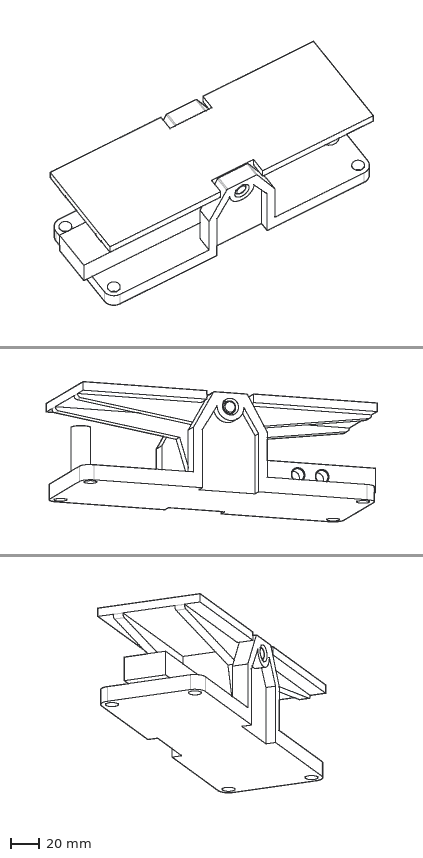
import cadquery as cq

length = 220.0
base_width = 80.0
axle_z = 60.0

plate_height = 11.0
corner_radius = 8.0
mounting_hole_diameter = 9.0

cheek_thickness = 12.0
cheek_half_foot = 27.5
cheek_half_top = 12.5
cheek_shoulder_z = 43.5
cheek_top_z = 70.0
cheek_edge_rounding = 1.0
axle_hole_diameter = 12.0
boss_radius = 10.0

pocket_depth = 7.5
pocket_half_width = 21.0
pocket_shoulder_z = 42.0

post_diameter = 14.0
post_height = 35.0
post_y = 98.0

block_width = 32.0
block_length = 98.0
block_height = 17.6
block_overhang = 7.0
socket_diameter = 9.0
socket_depth = 10.0
socket_spacing = 18.0
socket_chamfer = 0.6

tread_width = 79.0
tread_thickness = 6.25
tread_top_z = 70.5
notch_half_length = 17.5
cheek_clearance = 0.5

rib_thickness = 7.5
rib_tip_z = 61.75
rib_tip_radius = 2.75
rib_knee_y = 17.0
rib_knee_z = 48.7
rib_foot_half_length = 7.0
pedal_bottom_z = 16.4
web_thickness = 10.0

trunnion_diameter = 9.0
trunnion_chamfer = 0.75
trunnion_recess = 1.0

half_length = length / 2
half_base = base_width / 2
cheek_inner_x = half_base - cheek_thickness
rib_outer_x = cheek_inner_x - cheek_clearance
tread_bottom_z = tread_top_z - tread_thickness
sides = (-1, 1)


def side_profile(x):
    """Sketch plane across X: local x is Y, local y is Z, extruding toward +X."""
    return cq.Workplane("YZ", origin=(x, 0, 0))


def span(side, inner, outer):
    """Lower X of the slab between two distances from the middle plane, on one side."""
    return inner if side > 0 else -outer


def make_base_plate():
    hole_x = half_base - corner_radius
    hole_y = half_length - corner_radius
    return (
        cq.Workplane("XY")
        .box(base_width, length, plate_height, centered=(True, True, False))
        .edges("|Z")
        .fillet(corner_radius)
        .faces(">Z")
        .workplane()
        .rect(2 * hole_x, 2 * hole_y, forConstruction=True)
        .vertices()
        .hole(mounting_hole_diameter)
    )


def make_cheek(side):
    outline = [
        (-cheek_half_foot, 0),
        (-cheek_half_foot, cheek_shoulder_z),
        (-cheek_half_top, cheek_top_z),
        (cheek_half_top, cheek_top_z),
        (cheek_half_foot, cheek_shoulder_z),
        (cheek_half_foot, 0),
    ]
    return (
        side_profile(span(side, cheek_inner_x, half_base))
        .polyline(outline)
        .close()
        .extrude(cheek_thickness)
        .faces(">Z")
        .edges("|X")
        .fillet(cheek_edge_rounding)
    )


def make_cheek_pocket(side):
    """Pocket running out through the bottom, its top rounded off by the axle boss."""
    return (
        side_profile(span(side, half_base - pocket_depth, half_base))
        .moveTo(-pocket_half_width, 0)
        .lineTo(-pocket_half_width, pocket_shoulder_z)
        .lineTo(-boss_radius, axle_z)
        .threePointArc((0, axle_z - boss_radius), (boss_radius, axle_z))
        .lineTo(pocket_half_width, pocket_shoulder_z)
        .lineTo(pocket_half_width, 0)
        .close()
        .extrude(pocket_depth)
    )


def make_axle_hole():
    return side_profile(-half_base).center(0, axle_z).circle(axle_hole_diameter / 2).extrude(base_width)


def make_post():
    return (
        cq.Workplane("XY", origin=(0, post_y, plate_height))
        .circle(post_diameter / 2)
        .extrude(post_height)
    )


def make_connector_block():
    """Block with two blind, chamfered sockets in its -X side."""
    center_y = block_length / 2 - half_length - block_overhang
    block = cq.Workplane("XY", origin=(0, center_y, plate_height)).box(
        block_width, block_length, block_height, centered=(True, True, False)
    )
    socket = (
        cq.Workplane("YZ", origin=(-block_width / 2, center_y, plate_height + block_height / 2))
        .pushPoints([(-socket_spacing / 2, 0), (socket_spacing / 2, 0)])
    )
    bores = socket.circle(socket_diameter / 2).extrude(socket_depth)
    chamfers = socket.circle(socket_diameter / 2 + socket_chamfer).extrude(socket_chamfer, taper=45)
    return block.cut(bores).cut(chamfers)


def make_base():
    base = make_base_plate()
    for side in sides:
        base = base.union(make_cheek(side)).cut(make_cheek_pocket(side))
    return base.cut(make_axle_hole()).union(make_post()).union(make_connector_block())


def make_tread():
    """Foot plate with a notch on each side that clears the cheek."""
    tread = cq.Workplane("XY", origin=(0, 0, tread_bottom_z)).box(
        tread_width, length, tread_thickness, centered=(True, True, False)
    )
    notch_depth = half_base - rib_outer_x
    for side in sides:
        notch = cq.Workplane("XY", origin=(side * (rib_outer_x + notch_depth / 2), 0, tread_bottom_z)).box(
            notch_depth, 2 * notch_half_length, tread_thickness, centered=(True, True, False)
        )
        tread = tread.cut(notch)
    return tread


def make_rib(side):
    """Side rib tapering to both ends, narrowing below its knees to a short foot."""
    outline = [
        (-half_length, tread_bottom_z),
        (-half_length, rib_tip_z),
        (-rib_knee_y, rib_knee_z),
        (-rib_foot_half_length, pedal_bottom_z),
        (rib_foot_half_length, pedal_bottom_z),
        (rib_knee_y, rib_knee_z),
        (half_length, rib_tip_z),
        (half_length, tread_bottom_z),
    ]
    corner_margin = 0.1
    tip_corners = cq.selectors.BoxSelector(
        (-base_width, -length, rib_tip_z - corner_margin),
        (base_width, length, rib_tip_z + corner_margin),
    )
    return (
        side_profile(span(side, rib_outer_x - rib_thickness, rib_outer_x))
        .polyline(outline)
        .close()
        .extrude(rib_thickness)
        .edges(tip_corners)
        .fillet(rib_tip_radius)
    )


def make_web():
    """Upright wall across the pedal, joining the two ribs under the tread."""
    return cq.Workplane("XY", origin=(0, 0, pedal_bottom_z)).box(
        2 * rib_outer_x - rib_thickness,
        web_thickness,
        tread_bottom_z - pedal_bottom_z,
        centered=(True, True, False),
    )


def make_trunnion(side):
    """Axle stub from the rib into the cheek, chamfered at its outer end."""
    tip_x = half_base - trunnion_recess
    return (
        side_profile(span(side, rib_outer_x, tip_x))
        .center(0, axle_z)
        .circle(trunnion_diameter / 2)
        .extrude(tip_x - rib_outer_x)
        .faces(">X" if side > 0 else "<X")
        .chamfer(trunnion_chamfer)
    )


def make_pedal():
    pedal = make_tread().union(make_web())
    for side in sides:
        pedal = pedal.union(make_rib(side)).union(make_trunnion(side))
    return pedal


base = make_base()
pedal = make_pedal()

result = cq.Compound.makeCompound([base.val(), pedal.val()])